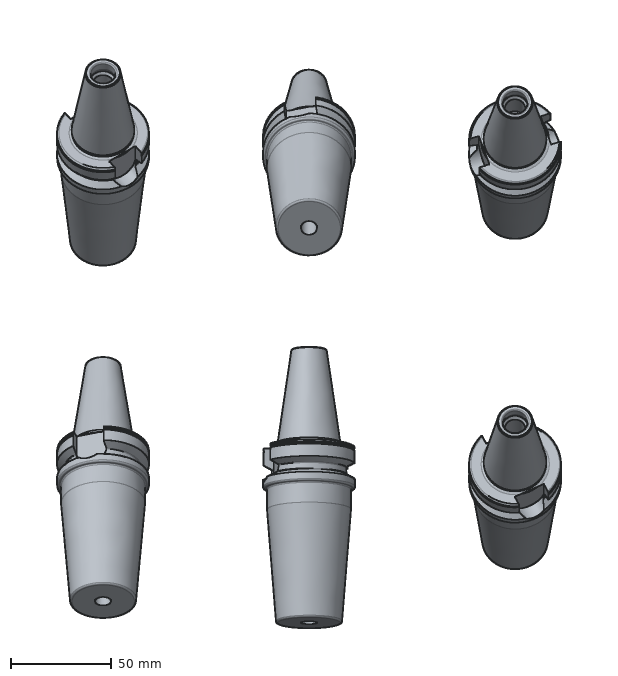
import cadquery as cq
import math


gauge_radius = 31.75 / 2
taper_length = 48.4
taper_slope = 7 / 24 / 2
taper_top_edge = 0.5
taper_end_z = 1.1
neck_radius = 15.55
neck_top_z = 0.2
neck_bottom_z = -0.5
neck_flare_end_radius = 17.0

flange_radius = 23.0
flange_top_z = -1.0
flange_bottom_z = -22.0
flange_top_fillet = 0.9
flange_bottom_fillet = 1.0

mark_top_z = -2.1
mark_width = 1.4
mark_depth = 0.3

groove_center_z = -13.65
groove_root_radius = 19.0
groove_root_width = 3.4
groove_root_fillet = 0.4
flank_angle = math.radians(30)
flank_height = (flange_radius - groove_root_radius) * math.tan(flank_angle)

slot_width = 16.1
slot_face_x = 16.3
slot_end_z = -19.3

nose_z = -90.0
body_radius = 21.0
body_root_fillet = 0.6
body_taper_z = -32.6
body_taper_angle = 4.5
nose_edge_fillet = 1.0

through_radius = 4.0
thread_radius = 5.1
thread_depth = 24.0
counterbore_radius = 6.2
counterbore_depth = 5.0
mouth_fillet = 0.7
relief_radius = 6.5
relief_top_depth = 6.0
relief_bottom_depth = 7.2
lead_in_height = relief_radius - thread_radius


def taper_radius(z):
    return gauge_radius - taper_slope * z


def turned_body():
    top_radius = taper_radius(taper_length)
    groove_top = groove_center_z + groove_root_width / 2
    groove_bottom = groove_center_z - groove_root_width / 2
    fillet_trim = groove_root_fillet * math.tan((math.pi / 2 - flank_angle) / 2)
    fillet_rise = fillet_trim * math.sin(flank_angle)
    fillet_flank_radius = groove_root_radius + fillet_trim * math.cos(flank_angle)
    flare_run = neck_flare_end_radius - neck_radius
    flare_rise = neck_bottom_z - flange_top_z
    neck_flare_arc = (flare_run**2 + flare_rise**2) / (2 * flare_rise)
    nose_radius = body_radius - (body_taper_z - nose_z) * math.tan(math.radians(body_taper_angle))
    profile = (
        cq.Workplane("XZ")
        .moveTo(0, taper_length)
        .lineTo(top_radius - taper_top_edge, taper_length)
        .lineTo(taper_radius(taper_length - taper_top_edge), taper_length - taper_top_edge)
        .lineTo(taper_radius(taper_end_z), taper_end_z)
        .lineTo(neck_radius, neck_top_z)
        .lineTo(neck_radius, neck_bottom_z)
        .radiusArc((neck_flare_end_radius, flange_top_z), -neck_flare_arc)
        .lineTo(flange_radius - flange_top_fillet, flange_top_z)
        .radiusArc((flange_radius, flange_top_z - flange_top_fillet), flange_top_fillet)
        .lineTo(flange_radius, mark_top_z)
        .lineTo(flange_radius - mark_depth, mark_top_z - mark_width / 2)
        .lineTo(flange_radius, mark_top_z - mark_width)
        .lineTo(flange_radius, groove_top + flank_height)
        .lineTo(fillet_flank_radius, groove_top + fillet_rise)
        .radiusArc((groove_root_radius, groove_top - fillet_trim), -groove_root_fillet)
        .lineTo(groove_root_radius, groove_bottom + fillet_trim)
        .radiusArc((fillet_flank_radius, groove_bottom - fillet_rise), -groove_root_fillet)
        .lineTo(flange_radius, groove_bottom - flank_height)
        .lineTo(flange_radius, flange_bottom_z + flange_bottom_fillet)
        .radiusArc((flange_radius - flange_bottom_fillet, flange_bottom_z), flange_bottom_fillet)
        .lineTo(body_radius + body_root_fillet, flange_bottom_z)
        .radiusArc((body_radius, flange_bottom_z - body_root_fillet), -body_root_fillet)
        .lineTo(body_radius, body_taper_z)
        .lineTo(nose_radius, nose_z)
        .lineTo(0, nose_z)
        .close()
    )
    body = profile.revolve(360, (0, 0, 0), (0, 1, 0))
    return body.faces("<Z").edges().fillet(nose_edge_fillet)


def drive_slot(side):
    arc_radius = slot_width / 2
    arc_center_z = slot_end_z + arc_radius
    return (
        cq.Workplane("YZ")
        .moveTo(-arc_radius, flange_top_z)
        .lineTo(-arc_radius, arc_center_z)
        .threePointArc((0, slot_end_z), (arc_radius, arc_center_z))
        .lineTo(arc_radius, flange_top_z)
        .close()
        .extrude(side * (flange_radius - slot_face_x))
        .translate((side * slot_face_x, 0, 0))
    )


def stepped_bore():
    relief_bottom_z = taper_length - relief_bottom_depth
    thread_end_z = taper_length - thread_depth
    profile = (
        cq.Workplane("XZ")
        .moveTo(0, taper_length)
        .lineTo(counterbore_radius + mouth_fillet, taper_length)
        .radiusArc((counterbore_radius, taper_length - mouth_fillet), -mouth_fillet)
        .lineTo(counterbore_radius, taper_length - counterbore_depth)
        .lineTo(relief_radius, taper_length - relief_top_depth)
        .lineTo(relief_radius, relief_bottom_z)
        .lineTo(thread_radius, relief_bottom_z - lead_in_height)
        .lineTo(thread_radius, thread_end_z)
        .lineTo(through_radius, thread_end_z)
        .lineTo(through_radius, nose_z)
        .lineTo(0, nose_z)
        .close()
    )
    return profile.revolve(360, (0, 0, 0), (0, 1, 0))


result = turned_body()
for side in (-1, 1):
    result = result.cut(drive_slot(side))
result = result.cut(stepped_bore())